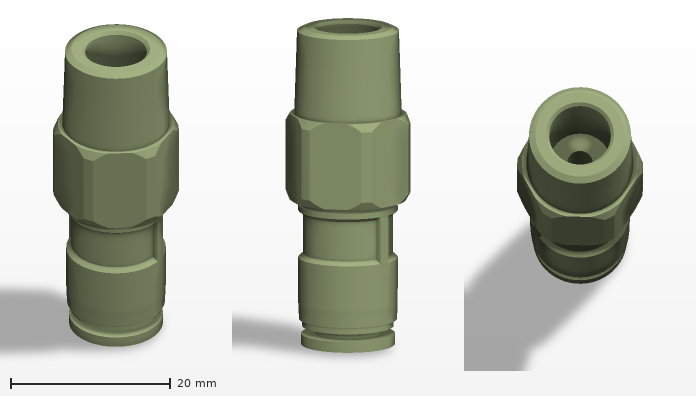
import cadquery as cq
import math


total_height = 41.0
hex_top = 30.0
hex_bottom = 19.0
shoulder_top = 18.3
shoulder_bottom = 17.6
waist_top = 17.15
waist_bottom = 12.12
sleeve_top = 11.6
sleeve_taper_start = 5.85
sleeve_bottom = 3.7
retainer_bottom = 2.8
collar_cone_top = 2.2
collar_top = 1.85

thread_taper = 1 / 16
thread_top_diameter = 12.8
thread_length = total_height - hex_top
thread_base_diameter = thread_top_diameter + thread_taper * thread_length
thread_face_diameter = 11.2
thread_chamfer_height = 0.4

hex_sides = 6
across_flats = 14.29
corner_diameter = 15.77
hex_face_diameter = 14.6
hex_chamfer_angle = 60.0

neck_diameter = 11.9
sleeve_diameter = 12.5
sleeve_bottom_diameter = 12.3
waist_diameter = 11.25
retainer_diameter = 11.5
collar_neck_diameter = 7.84
collar_cone_diameter = 8.2
collar_diameter = 11.8
collar_face_angle = 10.0

rib_width = 1.55

upper_bore_diameter = 7.75
upper_bore_depth = thread_length
upper_bore_chamfer = 0.38
through_diameter = 3.17
tube_diameter = 6.35
tube_depth = 17.0


def revolve_profile(stations):
    """Solid of revolution about Z through (diameter, height) stations, closed along the axis."""
    outline = [(0, stations[0][1])]
    outline += [(diameter / 2, height) for diameter, height in stations]
    outline.append((0, stations[-1][1]))
    return cq.Workplane("XZ").polyline(outline).close().revolve(360, (0, 0), (0, 1))


def cylinder(diameter, bottom, top):
    """Solid cylinder on Z between two heights."""
    return cq.Workplane("XY").workplane(offset=bottom).circle(diameter / 2).extrude(top - bottom)


def make_thread_body():
    return revolve_profile([
        (thread_base_diameter, hex_top),
        (thread_top_diameter, total_height - thread_chamfer_height),
        (thread_face_diameter, total_height),
    ])


def make_hexagon():
    """Hexagonal prism with flats on -X and +X, trimmed by a cylinder with conical ends."""
    half_side_angle = 180 / hex_sides
    across_corners = across_flats / math.cos(math.radians(half_side_angle))
    prism = (
        cq.Workplane("XY")
        .workplane(offset=hex_bottom)
        .transformed(rotate=(0, 0, half_side_angle))
        .polygon(hex_sides, across_corners)
        .extrude(hex_top - hex_bottom)
    )
    chamfer_width = (corner_diameter - hex_face_diameter) / 2
    chamfer_height = chamfer_width * math.tan(math.radians(hex_chamfer_angle))
    envelope = revolve_profile([
        (hex_face_diameter, hex_bottom),
        (corner_diameter, hex_bottom + chamfer_height),
        (corner_diameter, hex_top - chamfer_height),
        (hex_face_diameter, hex_top),
    ])
    return prism.intersect(envelope)


def make_lower_body():
    """Neck, sleeve, retainer and release collar, from the bottom up."""
    collar_face_width = (collar_diameter - tube_diameter) / 2
    collar_face_height = collar_face_width * math.tan(math.radians(collar_face_angle))
    return revolve_profile([
        (tube_diameter, 0),
        (collar_diameter, collar_face_height),
        (collar_diameter, collar_top),
        (collar_cone_diameter, collar_top),
        (collar_neck_diameter, collar_cone_top),
        (collar_neck_diameter, retainer_bottom),
        (retainer_diameter, retainer_bottom),
        (retainer_diameter, sleeve_bottom),
        (sleeve_bottom_diameter, sleeve_bottom),
        (sleeve_diameter, sleeve_taper_start),
        (sleeve_diameter, shoulder_top),
        (neck_diameter, shoulder_top),
        (neck_diameter, hex_bottom),
    ])


def make_waist_groove():
    """Ring with bevelled ends cut into the sleeve, leaving a rib on the -X and +X sides."""
    ring = cylinder(sleeve_diameter, sleeve_top, shoulder_bottom)
    core = revolve_profile([
        (sleeve_diameter, sleeve_top),
        (waist_diameter, waist_bottom),
        (waist_diameter, waist_top),
        (sleeve_diameter, shoulder_bottom),
    ])
    ribs = (
        cq.Workplane("XY")
        .workplane(offset=sleeve_top)
        .rect(2 * sleeve_diameter, rib_width)
        .extrude(shoulder_bottom - sleeve_top)
    )
    return ring.cut(core).cut(ribs)


def make_bores():
    upper_bore = cylinder(upper_bore_diameter, total_height - upper_bore_depth, total_height)
    mouth = revolve_profile([
        (upper_bore_diameter, total_height - upper_bore_chamfer),
        (upper_bore_diameter + 2 * upper_bore_chamfer, total_height),
    ])
    through_hole = cylinder(through_diameter, 0, total_height)
    tube_socket = cylinder(tube_diameter, 0, tube_depth)
    return upper_bore.union(mouth).union(through_hole).union(tube_socket)


body = make_thread_body().union(make_hexagon()).union(make_lower_body())
result = body.cut(make_waist_groove()).cut(make_bores())